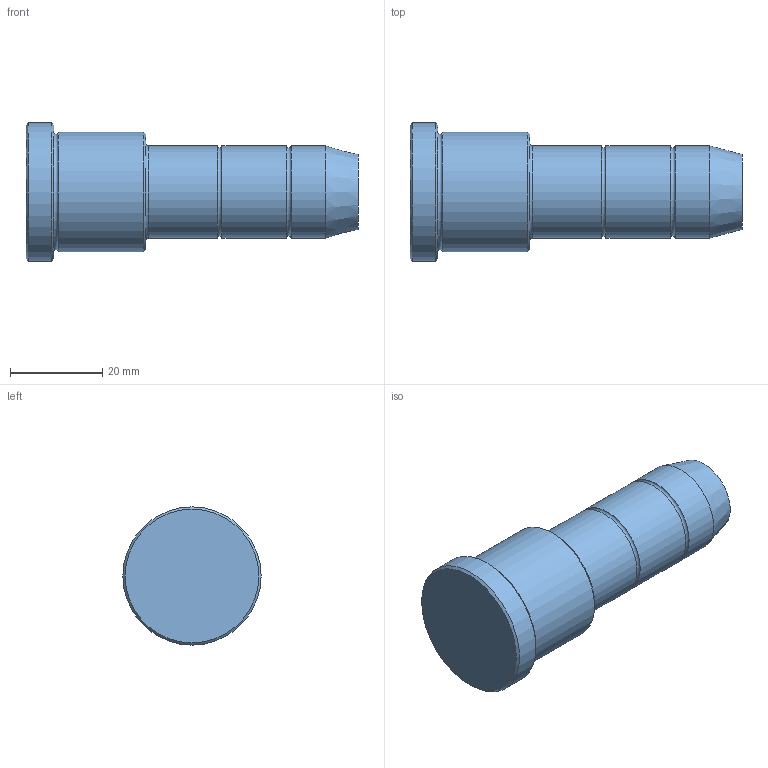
import math
import cadquery as cq

overall_length = 72.0
head_diameter = 30.0
head_length = 6.0
body_diameter = 26.0
body_end = 26.0
shaft_diameter = 20.0

edge_chamfer = 0.5
root_fillet = 0.5
groove_radius = 0.5

taper_length = 7.0
taper_angle = 15.0

first_groove_offset = 16.0
groove_pitch = 15.0
groove_count = 2

head_radius = head_diameter / 2
body_radius = body_diameter / 2
shaft_radius = shaft_diameter / 2
tip_radius = shaft_radius - taper_length * math.tan(math.radians(taper_angle))


def cylinder(start, end, radius):
    """Solid cylinder along X between two stations."""
    return cq.Workplane("YZ", origin=(start, 0, 0)).circle(radius).extrude(end - start)


def round_groove(center, surface_radius):
    """Ring that cuts a half-round groove centred on a cylindrical surface."""
    return (
        cq.Workplane("XY")
        .center(center, surface_radius)
        .circle(groove_radius)
        .revolve(360, (0, -surface_radius, 0), (1, -surface_radius, 0))
    )


def make_head():
    """Head disc, chamfered on both rims."""
    return cylinder(0, head_length, head_radius).edges("%CIRCLE").chamfer(edge_chamfer)


def make_body():
    """Fitted shoulder, chamfered at its free end, with an undercut against the head."""
    body = cylinder(head_length, body_end, body_radius).faces(">X").edges().chamfer(edge_chamfer)
    return body.cut(round_groove(head_length + groove_radius, body_radius))


def make_shaft():
    """Slim shaft with a flared root, ring grooves and a tapered lead-in."""
    taper_start = overall_length - taper_length
    root_end = body_end + root_fillet
    root_top = shaft_radius + root_fillet
    arc_inset = root_fillet * (1 - math.sqrt(0.5))
    shaft = (
        cq.Workplane("XY")
        .moveTo(body_end, 0)
        .lineTo(body_end, root_top)
        .threePointArc(
            (body_end + arc_inset, shaft_radius + arc_inset),
            (root_end, shaft_radius),
        )
        .lineTo(taper_start, shaft_radius)
        .lineTo(overall_length, tip_radius)
        .lineTo(overall_length, 0)
        .close()
        .revolve(360, (0, 0, 0), (1, 0, 0))
    )
    for index in range(groove_count):
        center = body_end + first_groove_offset + index * groove_pitch
        shaft = shaft.cut(round_groove(center, shaft_radius))
    return shaft


result = make_head().union(make_body()).union(make_shaft())